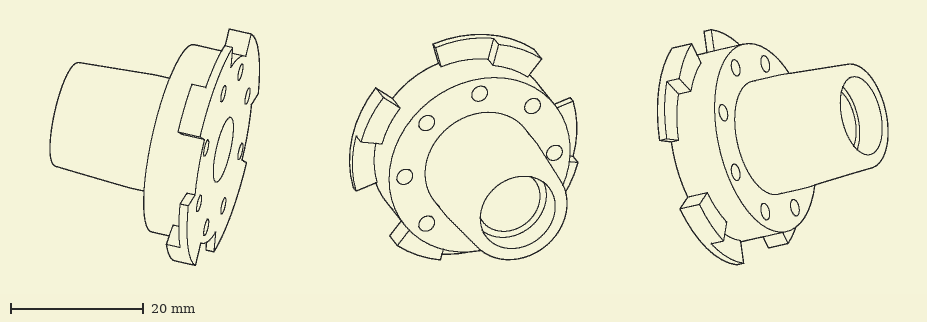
import cadquery as cq
import math

total_length = 25.0
flange_length = 8.0
neck_length = 5.0
flange_start = total_length - flange_length
taper_end = flange_start - neck_length

outer_radius = 18.0
flange_radius = 14.5
neck_radius = 8.75
nose_radius = 8.02
nose_fillet = 0.45
bore_radius = 5.0
counterbore_radius = 6.0
counterbore_depth = 4.0

hole_count = 8
hole_diameter = 2.5
hole_circle_radius = 11.98

lug_count = 4
thin_lug_thickness = 1.3
thick_lug_thickness = 3.5
lug_start_angle = -15.0
thin_lug_sweep = 30.0
thick_lug_sweep = 25.0
lug_overlap = 0.72
lug_root_radius = flange_radius - lug_overlap


def make_body():
    """Tapered nose, straight neck and flange, revolved about the X axis."""
    profile = (
        cq.Workplane("XY")
        .moveTo(0, 0)
        .lineTo(0, nose_radius)
        .lineTo(taper_end, neck_radius)
        .lineTo(flange_start, neck_radius)
        .lineTo(flange_start, flange_radius)
        .lineTo(total_length, flange_radius)
        .lineTo(total_length, 0)
        .close()
    )
    body = profile.revolve(360, (0, 0, 0), (1, 0, 0))
    return body.faces("<X").edges().fillet(nose_fillet)


def polar(radius, angle):
    """Point on the YZ plane, with the angle measured from +Y toward +Z."""
    return radius * math.cos(math.radians(angle)), radius * math.sin(math.radians(angle))


def make_sector(start_angle, sweep, thickness):
    """Ring sector that ends flush with the rear face of the flange."""
    middle_angle = start_angle + sweep / 2
    end_angle = start_angle + sweep
    return (
        cq.Workplane("YZ", origin=(total_length - thickness, 0, 0))
        .moveTo(*polar(lug_root_radius, start_angle))
        .lineTo(*polar(outer_radius, start_angle))
        .threePointArc(polar(outer_radius, middle_angle), polar(outer_radius, end_angle))
        .lineTo(*polar(lug_root_radius, end_angle))
        .threePointArc(polar(lug_root_radius, middle_angle), polar(lug_root_radius, start_angle))
        .close()
        .extrude(thickness)
    )


def add_lugs(body):
    for index in range(lug_count):
        thin_start = lug_start_angle + index * 360 / lug_count
        thick_start = thin_start + thin_lug_sweep
        body = body.union(make_sector(thin_start, thin_lug_sweep, thin_lug_thickness))
        body = body.union(make_sector(thick_start, thick_lug_sweep, thick_lug_thickness))
    return body


def cut_bore(body):
    nose_face = cq.Workplane("YZ")
    bore = nose_face.circle(bore_radius).extrude(total_length)
    counterbore = nose_face.circle(counterbore_radius).extrude(counterbore_depth)
    return body.cut(bore).cut(counterbore)


def cut_flange_holes(body):
    holes = (
        cq.Workplane("YZ", origin=(flange_start, 0, 0))
        .polarArray(hole_circle_radius, 0, 360, hole_count)
        .circle(hole_diameter / 2)
        .extrude(flange_length)
    )
    return body.cut(holes)


result = cut_flange_holes(cut_bore(add_lugs(make_body())))